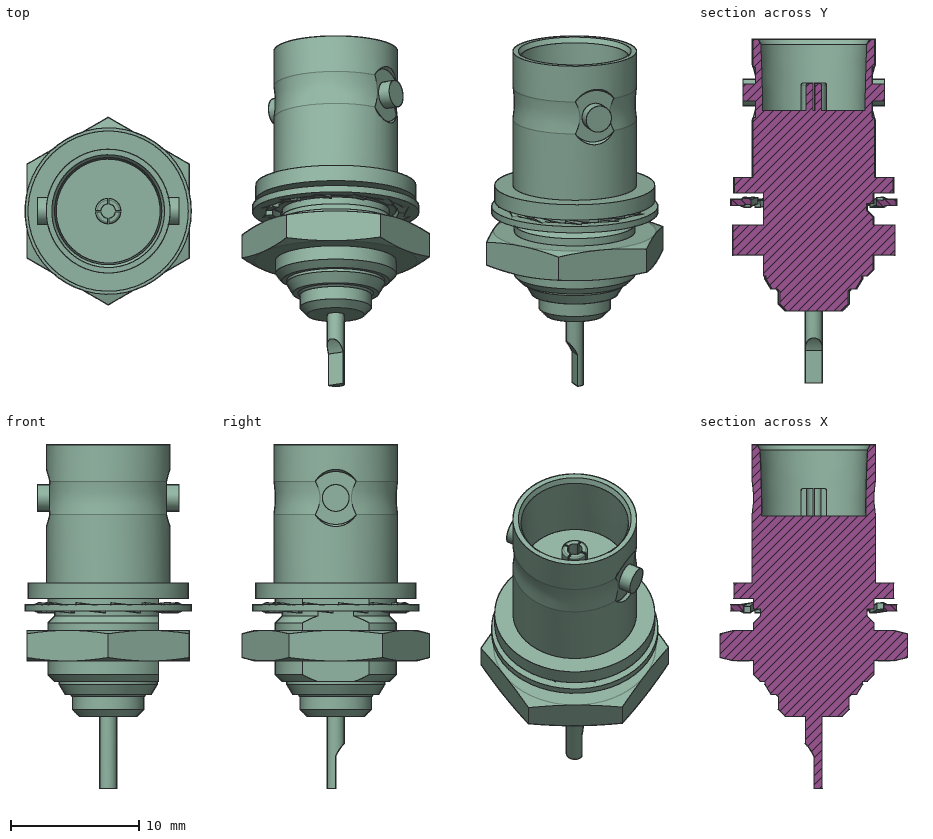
import cadquery as cq
import math

TOTAL_HEIGHT = 26.85
BARREL_RADIUS = 4.83
BARREL_BOTTOM = 16.05

FLANGE_RADIUS = 6.25
FLANGE_BOTTOM = 14.82

THREAD_RADIUS = 4.73
THREAD_BOTTOM = 8.35
THREAD_CHAMFER = 0.55
GROOVE_RADIUS = 4.2
GROOVE_TOP = 14.02
GROOVE_BOTTOM = 13.48
FLAT_DISTANCE = 3.95

HEX_CORNER_DIAMETER = 14.65
HEX_TOP = 12.35
HEX_BOTTOM = 9.95
HEX_CORNER_DROP = 0.27

TAPER_TOP_RADIUS = 3.85
TAPER_BOTTOM_RADIUS = 3.35
TAPER_TOP = 8.14
TAPER_BOTTOM = 7.33
BOSS_RADIUS = 2.8
BOSS_FLARE = 0.15
BOSS_BOTTOM = 5.6
BOSS_CHAMFER = 0.56

MOUTH_RADIUS = 4.4
BORE_RADIUS = 4.2
MOUTH_CHAMFER_DEPTH = 0.4
BORE_FLOOR_RADIUS = 4.05
BORE_FLOOR = 21.3

CONTACT_RADIUS = 1.0
CONTACT_TOP = 23.4
CONTACT_ROUND = 0.13
CONTACT_HOLE_RADIUS = 0.56
CONTACT_SLOT_WIDTH = 0.1

STUD_HEIGHT = 22.7
STUD_RADIUS = 1.05
STUD_REACH = 5.53
BAND_HALF_HEIGHT = 1.3
BAND_DEPTH = 0.1
SPOT_DISTANCE = 4.56
SPOT_RADIUS = 2.07
SPOT_OUTER_RADIUS = 2.23

TAIL_RADIUS = 0.67
TAIL_CUT_TOP = 2.52
TAIL_RUN_OUT_TOP = 3.52
TAIL_RUN_OUT_BOW = 0.05

WASHER_RADIUS = 6.5
WASHER_TOP = 14.36
WASHER_THICKNESS = 0.5
TOOTH_COUNT = 12
TOOTH_ROOT_RADIUS = 5.45
TOOTH_TIP_RADIUS = 4.95
TOOTH_ANGLE = 26.0
TOOTH_TWIST = -7.0


def revolve_profile(points):
    """Revolve a closed (radius, height) outline about the Z axis."""
    return cq.Workplane("XZ").polyline(points).close().revolve(360, (0, 0), (0, 1))


def make_shell_blank():
    """Turned shell from the thread's lower end to the mouth, with the bayonet groove."""
    groove_chamfer = THREAD_RADIUS - GROOVE_RADIUS
    profile = (
        cq.Workplane("XZ")
        .moveTo(0, THREAD_BOTTOM)
        .lineTo(THREAD_RADIUS - THREAD_CHAMFER, THREAD_BOTTOM)
        .lineTo(THREAD_RADIUS, THREAD_BOTTOM + THREAD_CHAMFER)
        .lineTo(THREAD_RADIUS, GROOVE_BOTTOM - groove_chamfer)
        .lineTo(GROOVE_RADIUS, GROOVE_BOTTOM)
        .lineTo(GROOVE_RADIUS, GROOVE_TOP)
        .lineTo(THREAD_RADIUS, GROOVE_TOP)
        .lineTo(THREAD_RADIUS, FLANGE_BOTTOM)
        .lineTo(FLANGE_RADIUS, FLANGE_BOTTOM)
        .lineTo(FLANGE_RADIUS, BARREL_BOTTOM)
        .lineTo(BARREL_RADIUS, BARREL_BOTTOM)
        .lineTo(BARREL_RADIUS, STUD_HEIGHT - BAND_HALF_HEIGHT)
        .threePointArc(
            (BARREL_RADIUS - BAND_DEPTH, STUD_HEIGHT),
            (BARREL_RADIUS, STUD_HEIGHT + BAND_HALF_HEIGHT),
        )
        .lineTo(BARREL_RADIUS, TOTAL_HEIGHT)
        .lineTo(0, TOTAL_HEIGHT)
        .close()
    )
    return profile.revolve(360, (0, 0), (0, 1))


def make_thread_flat():
    """Block that cuts the flat along the thread, from its lower end to the flange."""
    return cq.Workplane("XY").box(
        THREAD_RADIUS,
        2 * THREAD_RADIUS,
        FLANGE_BOTTOM - THREAD_BOTTOM,
        centered=(False, True, False),
    ).translate((FLAT_DISTANCE, 0, THREAD_BOTTOM))


def make_bore():
    """Open bore with a chamfered mouth and a slight taper."""
    return revolve_profile([
        (0, BORE_FLOOR),
        (BORE_FLOOR_RADIUS, BORE_FLOOR),
        (BORE_RADIUS, TOTAL_HEIGHT - MOUTH_CHAMFER_DEPTH),
        (MOUTH_RADIUS, TOTAL_HEIGHT),
        (0, TOTAL_HEIGHT),
    ])


def make_spot_face(side):
    """Tapered cutter that leaves a round flat about a stud; side is +1 or -1 along X."""
    depth = BARREL_RADIUS - SPOT_DISTANCE
    slope = (SPOT_OUTER_RADIUS - SPOT_RADIUS) / depth
    cut_length = STUD_REACH - SPOT_DISTANCE
    return cq.Workplane(cq.Solid.makeCone(
        SPOT_RADIUS,
        SPOT_RADIUS + slope * cut_length,
        cut_length,
        pnt=cq.Vector(side * SPOT_DISTANCE, 0, STUD_HEIGHT),
        dir=cq.Vector(side, 0, 0),
    ))


def make_stud(side):
    """Bayonet stud rooted in the barrel wall; side is +1 or -1 along X."""
    return cq.Workplane(cq.Solid.makeCylinder(
        STUD_RADIUS,
        STUD_REACH - MOUTH_RADIUS,
        pnt=cq.Vector(side * MOUTH_RADIUS, 0, STUD_HEIGHT),
        dir=cq.Vector(side, 0, 0),
    ))


def make_hexagon():
    """Hexagon whose corners are turned off by a shallow cone on both faces."""
    corner_radius = HEX_CORNER_DIAMETER / 2
    flat_radius = corner_radius * math.cos(math.radians(30))
    hexagon = (
        cq.Workplane("XY", origin=(0, 0, HEX_BOTTOM))
        .transformed(rotate=(0, 0, 90))
        .polygon(6, HEX_CORNER_DIAMETER)
        .extrude(HEX_TOP - HEX_BOTTOM)
    )
    turned = revolve_profile([
        (0, HEX_BOTTOM),
        (flat_radius, HEX_BOTTOM),
        (corner_radius, HEX_BOTTOM + HEX_CORNER_DROP),
        (corner_radius, HEX_TOP - HEX_CORNER_DROP),
        (flat_radius, HEX_TOP),
        (0, HEX_TOP),
    ])
    return hexagon.intersect(turned)


def make_insulator():
    """Tapered collar and end boss below the thread."""
    return revolve_profile([
        (0, THREAD_BOTTOM),
        (TAPER_TOP_RADIUS, THREAD_BOTTOM),
        (TAPER_TOP_RADIUS, TAPER_TOP),
        (TAPER_BOTTOM_RADIUS, TAPER_BOTTOM),
        (BOSS_RADIUS + BOSS_FLARE, TAPER_BOTTOM),
        (BOSS_RADIUS, TAPER_BOTTOM - BOSS_FLARE),
        (BOSS_RADIUS, BOSS_BOTTOM + BOSS_CHAMFER),
        (BOSS_RADIUS - BOSS_CHAMFER, BOSS_BOTTOM),
        (0, BOSS_BOTTOM),
    ])


def make_contact():
    """Socket contact with a rounded tip, a hole and two crossing slots."""
    contact_height = CONTACT_TOP - BORE_FLOOR
    contact = (
        cq.Workplane("XY", origin=(0, 0, BORE_FLOOR))
        .circle(CONTACT_RADIUS)
        .extrude(contact_height)
        .faces(">Z")
        .edges()
        .fillet(CONTACT_ROUND)
        .faces(">Z")
        .workplane()
        .hole(2 * CONTACT_HOLE_RADIUS)
    )
    slot = cq.Workplane("XY", origin=(0, 0, BORE_FLOOR)).box(
        2 * CONTACT_RADIUS,
        CONTACT_SLOT_WIDTH,
        contact_height,
        centered=(True, True, False),
    )
    for angle in (0, 90):
        contact = contact.cut(slot.rotate((0, 0, 0), (0, 0, 1), angle))
    return contact


def make_tail():
    """Solder tail whose +Y half ends in a concave run-out above the lower end."""
    tail = cq.Workplane("XY").circle(TAIL_RADIUS).extrude(BOSS_BOTTOM)
    cut = (
        cq.Workplane("YZ", origin=(-TAIL_RADIUS, 0, 0))
        .lineTo(0, TAIL_CUT_TOP)
        .sagittaArc((TAIL_RADIUS, TAIL_RUN_OUT_TOP), TAIL_RUN_OUT_BOW)
        .lineTo(TAIL_RADIUS, 0)
        .close()
        .extrude(2 * TAIL_RADIUS)
    )
    return tail.cut(cut)


def make_connector():
    """Bulkhead connector: shell, hexagon, insulator, contact, studs and tail."""
    shell = make_shell_blank().cut(make_thread_flat())
    for side in (-1, 1):
        shell = shell.cut(make_spot_face(side)).union(make_stud(side))
    shell = shell.cut(make_bore())
    return (
        shell.union(make_hexagon())
        .union(make_insulator())
        .union(make_contact())
        .union(make_tail())
    )


def make_tooth(angle):
    """Washer tooth twisted about its own radial axis, which points along angle."""
    half_angle = math.radians(TOOTH_ANGLE / 2)
    embedded_radius = (TOOTH_ROOT_RADIUS + WASHER_RADIUS) / 2
    tip_x = TOOTH_TIP_RADIUS * math.cos(half_angle)
    tip_y = TOOTH_TIP_RADIUS * math.sin(half_angle)
    root_x = TOOTH_ROOT_RADIUS * math.cos(half_angle)
    root_y = TOOTH_ROOT_RADIUS * math.sin(half_angle)
    return (
        cq.Workplane("XY")
        .moveTo(tip_x, -tip_y)
        .threePointArc((TOOTH_TIP_RADIUS, 0), (tip_x, tip_y))
        .lineTo(root_x, root_y)
        .lineTo(embedded_radius, 0)
        .lineTo(root_x, -root_y)
        .close()
        .extrude(WASHER_THICKNESS / 2, both=True)
        .rotate((0, 0, 0), (1, 0, 0), TOOTH_TWIST)
        .rotate((0, 0, 0), (0, 0, 1), angle)
    )


def make_washer():
    """Internal-tooth lock washer, clear of the thread."""
    middle = WASHER_TOP - WASHER_THICKNESS / 2
    washer = (
        cq.Workplane("XY", origin=(0, 0, -WASHER_THICKNESS / 2))
        .circle(WASHER_RADIUS)
        .circle(TOOTH_ROOT_RADIUS)
        .extrude(WASHER_THICKNESS)
    )
    pitch = 360 / TOOTH_COUNT
    for index in range(TOOTH_COUNT):
        washer = washer.union(make_tooth((index + 0.5) * pitch))
    return washer.translate((0, 0, middle))


connector = make_connector()
washer = make_washer()
result = cq.Compound.makeCompound([connector.solids().val(), washer.solids().val()])